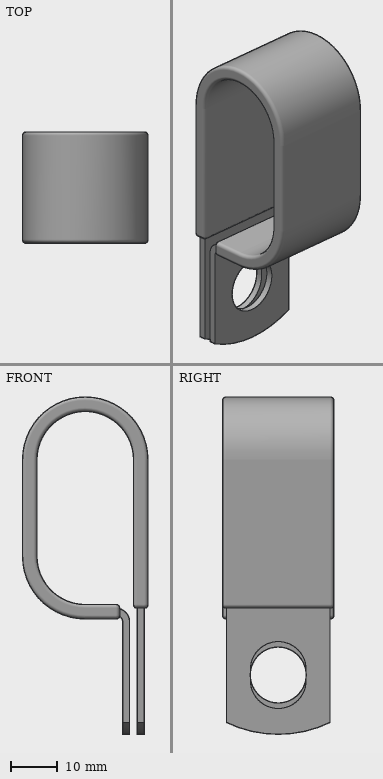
import cadquery as cq
import math

strap_thickness = 1.524
tab_gap = 1.6
bend_radius = 1.4
hole_diameter = 11.9
slot_length = 14.3
hole_to_tip = 12.7
tip_radius = 25.4

cushion_cover = 0.8
edge_rounding = 0.762
cushion_width = 23.81
loop_width = 26.85
straight_height = 20.64
straight_leg_end = 31.75
overall_height = 72.15

upper_right = 45
lower_left = 225

strap_width = cushion_width - 2 * cushion_cover
cushion_thickness = strap_thickness + 2 * cushion_cover
outer_radius = loop_width / 2
inner_radius = outer_radius - cushion_thickness
strap_outer_radius = outer_radius - cushion_cover
strap_inner_radius = inner_radius + cushion_cover
tip_z = outer_radius - overall_height
lower_z = -straight_height
front_tab_outer_x = strap_inner_radius - tab_gap
bend_x = front_tab_outer_x - strap_thickness - bend_radius
bend_z = lower_z - strap_outer_radius - bend_radius
outer_bend_radius = bend_radius + strap_thickness
cushion_end_x = bend_x + cushion_cover


def arc_point(centre_x, centre_z, radius, angle):
    """Point on an arc at an angle in degrees from +X toward +Z."""
    turn = math.radians(angle)
    return centre_x + radius * math.cos(turn), centre_z + radius * math.sin(turn)


def extrude_across(outline, width):
    """Extrude an XZ outline by the given width, centred on Y = 0."""
    return outline.close().extrude(width / 2, both=True)


def make_cushion():
    """Open loop with a long straight leg, a short foot and rounded rims and ends."""
    outline = (
        cq.Workplane("XZ")
        .moveTo(outer_radius, -straight_leg_end)
        .lineTo(outer_radius, 0)
        .threePointArc((0, outer_radius), (-outer_radius, 0))
        .lineTo(-outer_radius, lower_z)
        .threePointArc(arc_point(0, lower_z, outer_radius, lower_left), (0, lower_z - outer_radius))
        .lineTo(cushion_end_x, lower_z - outer_radius)
        .lineTo(cushion_end_x, lower_z - inner_radius)
        .lineTo(0, lower_z - inner_radius)
        .threePointArc(arc_point(0, lower_z, inner_radius, lower_left), (-inner_radius, lower_z))
        .lineTo(-inner_radius, 0)
        .threePointArc((0, inner_radius), (inner_radius, 0))
        .lineTo(inner_radius, -straight_leg_end)
    )
    blank = extrude_across(outline, cushion_width)
    mid_radius = (inner_radius + outer_radius) / 2
    leg_end = (mid_radius, 0, -straight_leg_end)
    foot_end = (cushion_end_x, 0, lower_z - mid_radius)
    end_faces = [blank.faces(cq.NearestToPointSelector(end)) for end in (leg_end, foot_end)]
    end_edges = [edge for face in end_faces for edge in face.edges("|Y").vals()]
    rim_edges = blank.faces("<Y or >Y").edges().vals()
    return blank.newObject(rim_edges + end_edges).fillet(edge_rounding)


def make_front_tab():
    """Strap from inside the foot of the cushion, through the bend, to the tip."""
    outline = (
        cq.Workplane("XZ")
        .moveTo(0, bend_z + bend_radius)
        .lineTo(bend_x, bend_z + bend_radius)
        .threePointArc(
            arc_point(bend_x, bend_z, bend_radius, upper_right),
            (bend_x + bend_radius, bend_z),
        )
        .lineTo(bend_x + bend_radius, tip_z)
        .lineTo(front_tab_outer_x, tip_z)
        .lineTo(front_tab_outer_x, bend_z)
        .threePointArc(
            arc_point(bend_x, bend_z, outer_bend_radius, upper_right),
            (bend_x, bend_z + outer_bend_radius),
        )
        .lineTo(0, bend_z + outer_bend_radius)
    )
    return extrude_across(outline, strap_width)


def make_back_tab():
    """Straight strap from inside the long leg of the cushion to the tip."""
    outline = (
        cq.Workplane("XZ")
        .moveTo(strap_inner_radius, 0)
        .lineTo(strap_inner_radius, tip_z)
        .lineTo(strap_outer_radius, tip_z)
        .lineTo(strap_outer_radius, 0)
    )
    return extrude_across(outline, strap_width)


def round_tip(tab):
    """Trim a tab to the side outline that ends in the rounded tip."""
    half_width = strap_width / 2
    shoulder_z = tip_z + tip_radius - math.sqrt(tip_radius**2 - half_width**2)
    side_outline = (
        cq.Workplane("YZ")
        .moveTo(-half_width, 0)
        .lineTo(-half_width, shoulder_z)
        .threePointArc((0, tip_z), (half_width, shoulder_z))
        .lineTo(half_width, 0)
        .close()
        .extrude(outer_radius)
    )
    return tab.intersect(side_outline)


def bolt_plane():
    """YZ workplane centred on the bolt axis."""
    return cq.Workplane("YZ", origin=(0, 0, tip_z + hole_to_tip))


bolt_hole = bolt_plane().circle(hole_diameter / 2).extrude(outer_radius)
bolt_slot = bolt_plane().slot2D(slot_length, hole_diameter, 90).extrude(outer_radius)

front_tab = round_tip(make_front_tab()).cut(bolt_hole)
back_tab = round_tip(make_back_tab()).cut(bolt_slot)
result = make_cushion().union(front_tab).union(back_tab)